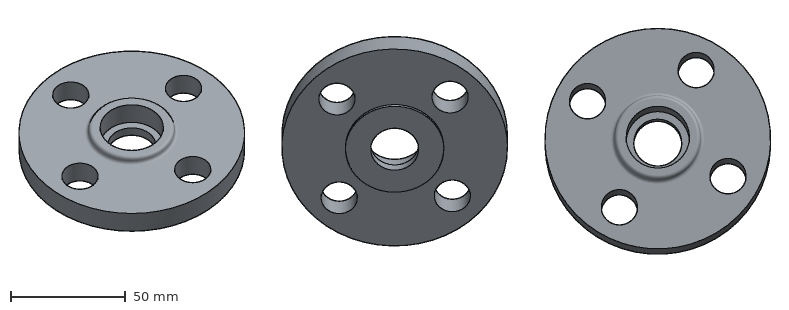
import cadquery as cq

flange_diameter = 98.5
flange_thickness = 11.2

raised_face_diameter = 43.0
raised_face_height = 1.6

hub_base_diameter = 38.2
hub_top_diameter = 36.8
hub_height = 3.0
hub_fillet_radius = 1.6

bore_diameter = 20.9
socket_diameter = 27.6
socket_depth = 11.0

bolt_count = 4
bolt_hole_diameter = 15.8
bolt_circle_diameter = 69.85

flange_bottom = raised_face_height
flange_top = flange_bottom + flange_thickness
hub_top = flange_top + hub_height
socket_floor = hub_top - socket_depth


def cylinder(diameter, bottom, top):
    """Upright cylinder centred on the Z axis between two heights."""
    return cq.Workplane("XY").workplane(offset=bottom).circle(diameter / 2).extrude(top - bottom)


def make_hub():
    """Tapered hub with a rounded rim, resting on the flange."""
    hub = (
        cq.Workplane("XY")
        .workplane(offset=flange_top)
        .circle(hub_base_diameter / 2)
        .workplane(offset=hub_height)
        .circle(hub_top_diameter / 2)
        .loft(ruled=True)
    )
    return hub.faces(">Z").edges().fillet(hub_fillet_radius)


def make_body():
    """Solid disc with its raised face and hub, before any holes."""
    disc = cylinder(flange_diameter, flange_bottom, flange_top)
    raised_face = cylinder(raised_face_diameter, 0, flange_bottom)
    body = disc.union(raised_face).union(make_hub())
    disc_top = body.faces("|Z").faces(">Z[-2]")
    return disc_top.edges(cq.selectors.RadiusNthSelector(0)).fillet(hub_fillet_radius)


def make_bolt_holes():
    """Through holes for the bolts, evenly spaced on the bolt circle."""
    return (
        cq.Workplane("XY")
        .workplane(offset=flange_bottom)
        .polarArray(bolt_circle_diameter / 2, 0, 360, bolt_count)
        .circle(bolt_hole_diameter / 2)
        .extrude(flange_thickness)
    )


bore = cylinder(bore_diameter, 0, hub_top)
socket = cylinder(socket_diameter, socket_floor, hub_top)

result = make_body().cut(bore).cut(socket).cut(make_bolt_holes())